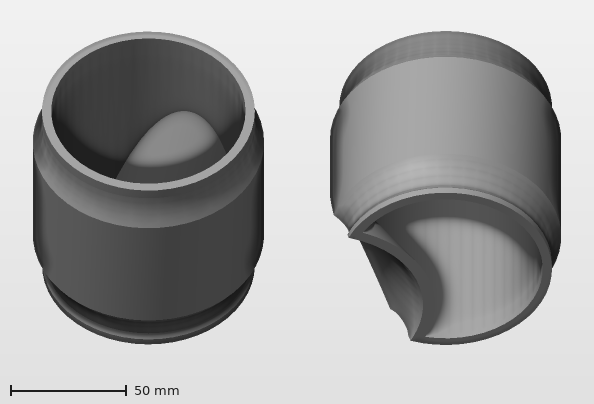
import cadquery as cq
import math

height = 100.0
body_radius = 50.0
neck_radius = 46.0
groove_radius = 44.9
bore_radius = 42.0

lip_top = 3.2
groove_z = 6.0
body_bottom = 20.0
body_top = 80.0
neck_bottom = 95.0

dent_radius = 46.5
dent_wall = 4.5
dent_tilt = 30.0
dent_top = 62.0


def tangent_arc_middle(start, end):
    """Midpoint of an arc that runs vertically at start; points are (radius, z)."""
    dr = end[0] - start[0]
    dz = end[1] - start[1]
    arc_radius = (dr**2 + dz**2) / (2 * abs(dr))
    half_sweep = math.atan2(abs(dr), abs(dz))
    side = math.copysign(1, dr)
    rise = math.copysign(1, dz)
    return (
        start[0] + side * arc_radius * (1 - math.cos(half_sweep)),
        start[1] + rise * arc_radius * math.sin(half_sweep),
    )


def make_outer_body():
    lip = (neck_radius, lip_top)
    groove = (groove_radius, groove_z)
    lower_shoulder = (body_radius, body_bottom)
    upper_shoulder = (body_radius, body_top)
    neck = (neck_radius, neck_bottom)
    return (
        cq.Workplane("XZ")
        .moveTo(0, 0)
        .lineTo(neck_radius, 0)
        .lineTo(*lip)
        .threePointArc(tangent_arc_middle(groove, lip), groove)
        .threePointArc(tangent_arc_middle(groove, lower_shoulder), lower_shoulder)
        .lineTo(*upper_shoulder)
        .threePointArc(tangent_arc_middle(neck, upper_shoulder), neck)
        .lineTo(neck_radius, height)
        .lineTo(0, height)
        .close()
        .revolve(360, (0, 0, 0), (0, 1, 0))
    )


def make_dent_cylinder(radius):
    tilt = math.radians(dent_tilt)
    axis_y_at_top = body_radius + dent_radius / math.cos(tilt)
    crossing_z = dent_top - axis_y_at_top / math.tan(tilt)
    direction = cq.Vector(0, math.sin(tilt), math.cos(tilt))
    length = 2 * (height - crossing_z)
    return cq.Workplane(cq.Solid.makeCylinder(radius, length, cq.Vector(0, 0, crossing_z), direction))


bore = cq.Workplane("XY").circle(bore_radius).extrude(height)
bore = bore.cut(make_dent_cylinder(dent_radius + dent_wall))

result = make_outer_body().cut(make_dent_cylinder(dent_radius)).cut(bore)